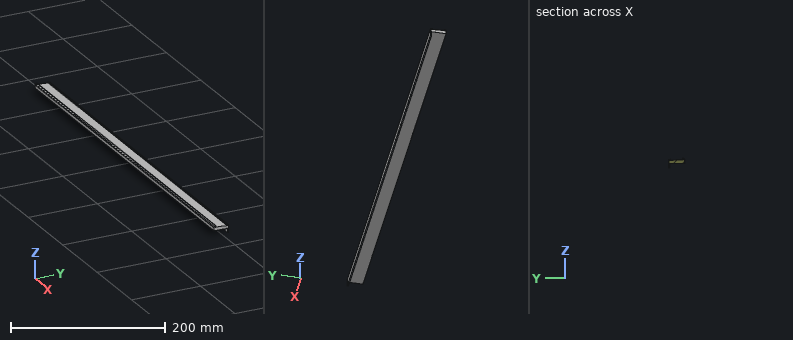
import cadquery as cq
import math

length = 520.0
width = 21.0
height = 13.07

back_y = width / 2
front_y = -width / 2
top_z = height / 2
bottom_z = -height / 2

plate_underside_depth = 7.05
plate_flat_depth = 2.05
crown_start_depth = 3.04
crown_end_y = -3.96

leg_thickness = 1.64

rim_root = 1.8

back_edge_depth = 1.93
back_ridge_inset = 1.86
back_ridge_depth = 1.75
back_lip_inset = 2.68
back_lip_depth = 1.35

front_lip_inset = 2.83
front_lip_depth = 0.19
front_lip_thickness = 0.43
front_peak_inset = 2.32
front_shoulder_inset = 0.69
front_shoulder_depth = 1.08
front_edge_depth = 2.13
front_bulge_ratio = 0.06


def from_back(inset, depth):
    """Profile point given from the back face and the top."""
    return (back_y - inset, top_z - depth)


def from_front(inset, depth):
    """Profile point given from the front face and the top."""
    return (front_y + inset, top_z - depth)


def bulge_point(start, end, ratio):
    """Middle of an arc that rises to the right of the chord, looking from start to end."""
    chord_y = end[0] - start[0]
    chord_z = end[1] - start[1]
    middle_y = (start[0] + end[0]) / 2
    middle_z = (start[1] + end[1]) / 2
    return (middle_y + chord_z * ratio, middle_z - chord_y * ratio)


def draw_back_rim(sketch):
    """From the foot of the back face up over the back rim to the plate."""
    return (
        sketch.moveTo(back_y, bottom_z)
        .lineTo(*from_back(0, back_edge_depth))
        .lineTo(*from_back(back_ridge_inset, back_ridge_depth))
        .lineTo(*from_back(back_lip_inset, back_lip_depth))
        .lineTo(*from_back(rim_root, crown_start_depth))
    )


def draw_plate_top(sketch):
    """Crowned arc that runs tangent into the flat strip beside the front rim."""
    crown_span = back_y - rim_root - crown_end_y
    crown_rise = crown_start_depth - plate_flat_depth
    crown_radius = (crown_span**2 + crown_rise**2) / (2 * crown_rise)
    half_angle = math.asin(crown_span / crown_radius) / 2
    flat_z = top_z - plate_flat_depth
    crown_middle = (
        crown_end_y + crown_radius * math.sin(half_angle),
        flat_z - crown_radius * (1 - math.cos(half_angle)),
    )
    return (
        sketch.threePointArc(crown_middle, (crown_end_y, flat_z))
        .lineTo(*from_front(rim_root, plate_flat_depth))
    )


def draw_front_rim(sketch):
    """From the plate up under the front lip, over the peak and down to the front face."""
    peak = from_front(front_peak_inset, 0)
    shoulder = from_front(front_shoulder_inset, front_shoulder_depth)
    return (
        sketch.lineTo(*from_front(front_lip_inset, front_lip_depth + front_lip_thickness))
        .lineTo(*from_front(front_lip_inset, front_lip_depth))
        .lineTo(*peak)
        .threePointArc(bulge_point(peak, shoulder, front_bulge_ratio), shoulder)
        .lineTo(*from_front(0, front_edge_depth))
    )


def draw_underside_and_leg(sketch):
    """Front face, flat underside and inner face of the leg; closes the profile."""
    return (
        sketch.lineTo(*from_front(0, plate_underside_depth))
        .lineTo(*from_back(leg_thickness, plate_underside_depth))
        .lineTo(back_y - leg_thickness, bottom_z)
        .close()
    )


profile = draw_back_rim(cq.Workplane("YZ"))
profile = draw_plate_top(profile)
profile = draw_front_rim(profile)
profile = draw_underside_and_leg(profile)

result = profile.extrude(length / 2, both=True)